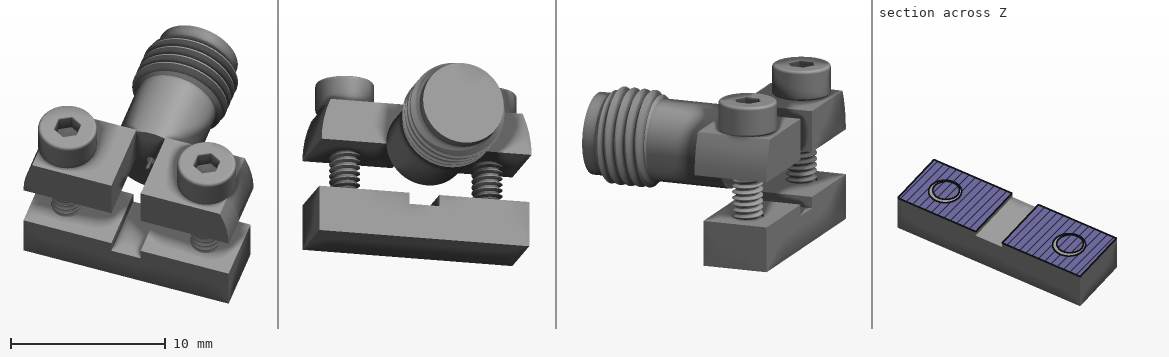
import cadquery as cq
import math

WIDTH = 14.0
BASE_DEPTH = 4.4
BASE_HEIGHT = 3.0
SLOT_WIDTH = 2.0
SLOT_DEPTH = 0.75

CLAMP_DEPTH = 5.0
CLAMP_HEIGHT = 2.74
CLAMP_BOTTOM = 6.0
CLAMP_TOP = CLAMP_BOTTOM + CLAMP_HEIGHT
CLAMP_TOP_WIDTH = 12.82

SCREW_SPACING = 9.5
SCREW_Y = BASE_DEPTH / 2
SCREW_DIAMETER = 2.0
SCREW_PITCH = SCREW_DIAMETER / 5
SCREW_THREAD_DEPTH = 0.23
SCREW_CREST_Z = 3.28
HEAD_DIAMETER = 3.8
HEAD_HEIGHT = 2.0
HEAD_ROUND = 0.2
HEAD_LOWER_ROUND = 0.17
HEX_FLATS = 1.51
HEX_DEPTH = 1.0
HEX_CHAMFER = 0.05
CLEARANCE_DIAMETER = 2.1
CLEARANCE_DEPTH = 0.44
SCREW_TIP_Z = BASE_HEIGHT / 2

LENGTH = 14.5
AXIS_Z = 6.08
BODY_DIAMETER = 5.38
COUPLING_DIAMETER = 6.35
COUPLING_PITCH = COUPLING_DIAMETER / 9
COUPLING_START = 10.05
COUPLING_END = 13.66
COUPLING_CREST_Y = 10.95
PIN_DIAMETER = 0.25
PIN_TIP_Y = 4.18
PIN_CHAMFER = 0.06
PIN_RECESS_DIAMETER = 0.6
PIN_RECESS_DEPTH = 0.6

THREAD_HALF_ANGLE = math.radians(30)
CREST_FLAT_PER_PITCH = 1 / 8
THREAD_EMBED = 0.03
CREST_CLEARANCE = 0.01
LEAD_IN_TURNS = 3


def thread_ridge(crest_diameter, root_diameter, pitch, start, turns):
    """Right-hand ridge around Z whose crest crosses the +X side at height start."""
    crest_radius = crest_diameter / 2
    inner_radius = root_diameter / 2 - THREAD_EMBED
    crest_half = pitch * CREST_FLAT_PER_PITCH / 2
    foot_half = crest_half + (crest_radius - inner_radius) * math.tan(THREAD_HALF_ANGLE)
    path = cq.Wire.makeHelix(pitch, turns * pitch, inner_radius)
    ridge = (
        cq.Workplane("XZ")
        .polyline([
            (inner_radius, -foot_half),
            (crest_radius, -crest_half),
            (crest_radius, crest_half),
            (inner_radius, foot_half),
        ])
        .close()
        .sweep(cq.Workplane(path), isFrenet=True)
    )
    return ridge.translate((0, 0, start))


def cylinder_y(diameter, start, end):
    """Cylinder on the connector axis between two Y positions."""
    return (
        cq.Workplane("XZ", origin=(0, start, AXIS_Z))
        .circle(diameter / 2)
        .extrude(start - end)
    )


def make_base():
    base = cq.Workplane("XY").box(WIDTH, BASE_DEPTH, BASE_HEIGHT, centered=(True, False, False))
    slot = (
        cq.Workplane("XY", origin=(0, 0, BASE_HEIGHT - SLOT_DEPTH))
        .box(SLOT_WIDTH, BASE_DEPTH, SLOT_DEPTH, centered=(True, False, False))
    )
    clearance = (
        cq.Workplane("XY", origin=(0, SCREW_Y, BASE_HEIGHT - CLEARANCE_DEPTH))
        .pushPoints([(-SCREW_SPACING / 2, 0), (SCREW_SPACING / 2, 0)])
        .circle(CLEARANCE_DIAMETER / 2)
        .extrude(CLEARANCE_DEPTH)
    )
    return base.cut(slot).cut(clearance)


def make_clamps():
    """Pair of blocks whose outer sides curve inward towards the top."""
    inset = (WIDTH - CLAMP_TOP_WIDTH) / 2
    side_radius = (inset**2 + CLAMP_HEIGHT**2) / (2 * inset)
    half_angle = math.atan2(CLAMP_HEIGHT, side_radius - inset) / 2
    middle = (
        WIDTH / 2 - side_radius * (1 - math.cos(half_angle)),
        CLAMP_BOTTOM + side_radius * math.sin(half_angle),
    )
    right = (
        cq.Workplane("XZ")
        .moveTo(SLOT_WIDTH / 2, CLAMP_BOTTOM)
        .lineTo(WIDTH / 2, CLAMP_BOTTOM)
        .threePointArc(middle, (CLAMP_TOP_WIDTH / 2, CLAMP_TOP))
        .lineTo(SLOT_WIDTH / 2, CLAMP_TOP)
        .close()
        .extrude(-CLAMP_DEPTH)
    )
    return right.union(right.mirror("YZ"))


def make_screw():
    """Socket cap screw on the Z axis, with its tip embedded in the base."""
    head = (
        cq.Workplane("XY", origin=(0, 0, CLAMP_TOP))
        .circle(HEAD_DIAMETER / 2)
        .extrude(HEAD_HEIGHT)
        .faces(">Z").edges().fillet(HEAD_ROUND)
        .faces("<Z").edges().fillet(HEAD_LOWER_ROUND)
    )
    socket = (
        cq.Workplane("XY", origin=(0, 0, CLAMP_TOP + HEAD_HEIGHT - HEX_DEPTH))
        .polygon(6, HEX_FLATS, circumscribed=True)
        .extrude(HEX_DEPTH)
    )
    socket_mouth = (
        cq.Workplane("XY", origin=(0, 0, CLAMP_TOP + HEAD_HEIGHT))
        .polygon(6, HEX_FLATS + 2 * HEX_CHAMFER, circumscribed=True)
        .extrude(-HEX_CHAMFER, taper=45)
    )
    root_diameter = SCREW_DIAMETER - 2 * SCREW_THREAD_DEPTH
    core = (
        cq.Workplane("XY", origin=(0, 0, SCREW_TIP_Z))
        .circle(root_diameter / 2)
        .extrude(CLAMP_TOP - SCREW_TIP_Z)
    )
    start = SCREW_CREST_Z - LEAD_IN_TURNS * SCREW_PITCH
    turns = math.ceil((CLAMP_BOTTOM - start) / SCREW_PITCH) + 1
    ridge = thread_ridge(SCREW_DIAMETER, root_diameter, SCREW_PITCH, start, turns)
    return core.union(ridge).union(head.cut(socket).cut(socket_mouth))


def make_coupling_thread():
    start = COUPLING_CREST_Y - LEAD_IN_TURNS * COUPLING_PITCH
    turns = math.ceil((COUPLING_END - start) / COUPLING_PITCH) + 1
    ridge = thread_ridge(COUPLING_DIAMETER, BODY_DIAMETER, COUPLING_PITCH, start, turns)
    envelope_radius = COUPLING_DIAMETER / 2 + CREST_CLEARANCE
    envelope = (
        cq.Workplane("XY", origin=(0, 0, COUPLING_START))
        .circle(envelope_radius)
        .extrude(COUPLING_END - COUPLING_START)
        .faces("<Z or >Z").edges().chamfer(envelope_radius - BODY_DIAMETER / 2)
    )
    thread = ridge.intersect(envelope)
    return thread.rotate((0, 0, 0), (1, 0, 0), -90).translate((0, 0, AXIS_Z))


def make_connector():
    body = cylinder_y(BODY_DIAMETER, CLAMP_DEPTH, LENGTH).union(make_coupling_thread())
    recess_end = CLAMP_DEPTH + PIN_RECESS_DEPTH
    recess = cylinder_y(PIN_RECESS_DIAMETER, CLAMP_DEPTH, recess_end)
    pin = cylinder_y(PIN_DIAMETER, PIN_TIP_Y, recess_end).faces("<Y").edges().chamfer(PIN_CHAMFER)
    return body.cut(recess).union(pin)


result = make_base().union(make_clamps()).union(make_connector())
for side in (-1, 1):
    result = result.union(make_screw().translate((side * SCREW_SPACING / 2, SCREW_Y, 0)))